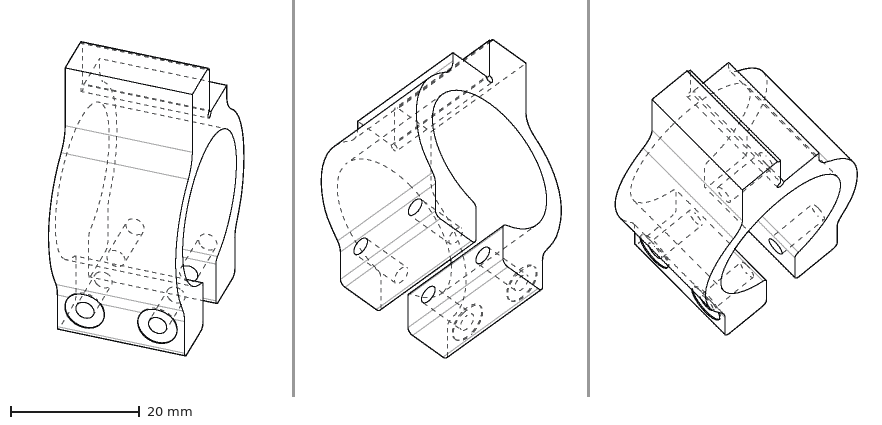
import cadquery as cq
import math

width = 20.95
height = 48.3

bore_radius = 12.5
bore_z = 21.0
slot_width = 5.95
slot_mouth_radius = 1.0
slot_foot_radius = 1.0

front_reach = 15.75
back_reach = 16.05

seat_half_depth = 8.0
shelf_z = 39.0
relief_radius = 0.7
seat_blend_radius = 5.0

front_foot_y = -11.65
back_foot_y = 11.85
foot_corner_radius = 1.0
foot_top_z = 7.1
front_blend_radius = 5.0
back_blend_radius = 3.6
front_blend_angle = math.radians(29.5)
back_blend_angle = math.radians(34)

screw_spacing = 11.95
screw_z = 5.1
screw_diameter = 3.0
spotface_diameter = 6.45
spotface_depth = 0.2

blend_center_y = seat_half_depth + seat_blend_radius
blend_center_distance = front_reach + seat_blend_radius
blend_angle = math.acos(blend_center_y / blend_center_distance)
seat_side_z = bore_z + blend_center_distance * math.sin(blend_angle)
shoulder_y = front_reach * math.cos(blend_angle)
shoulder_z = bore_z + front_reach * math.sin(blend_angle)

front_wall = [(-14.4, 27.45), (-front_reach, bore_z), (-15.05, 15.95)]
back_wall = [(14.45, 27.45), (back_reach, 19.6), (15.15, 13.95)]


def blend_point(foot_y, side, radius, angle):
    """Point at the given angle along the arc that starts at the top of a foot."""
    y = foot_y + side * radius * (1 - math.cos(angle))
    z = foot_top_z + radius * math.sin(angle)
    return (y, z)


def add_side(outline, side, wall, foot_y, blend_radius, angle):
    """Draw one side of the clamp, from the seat down to the foot."""
    mid_angle = blend_angle / 2
    seat_mid = (
        side * (blend_center_y - seat_blend_radius * math.cos(mid_angle)),
        seat_side_z - seat_blend_radius * math.sin(mid_angle),
    )
    shoulder = (side * shoulder_y, shoulder_z)
    wall_end = blend_point(foot_y, side, blend_radius, angle)
    foot_mid = blend_point(foot_y, side, blend_radius, angle / 2)
    start_tangent = (side * math.sin(blend_angle), -math.cos(blend_angle))
    end_tangent = (-side * math.sin(angle), -math.cos(angle))
    return (
        outline.lineTo(side * seat_half_depth, seat_side_z)
        .threePointArc(seat_mid, shoulder)
        .spline(wall + [wall_end], tangents=[start_tangent, end_tangent], includeCurrent=True)
        .threePointArc(foot_mid, (foot_y, foot_top_z))
        .lineTo(foot_y, 0)
        .lineTo(0, 0)
    )


def half_body(side, top_z, wall, foot_y, blend_radius, angle):
    """Solid half of the clamp on one side of the bore's vertical midplane."""
    outline = cq.Workplane("YZ", origin=(-width / 2, 0, 0)).moveTo(0, top_z).lineTo(side * seat_half_depth, top_z)
    outline = add_side(outline, side, wall, foot_y, blend_radius, angle)
    return outline.close().extrude(width)


def bar(y, z, radius):
    """Round bar along X, used as a cutter."""
    return cq.Workplane("YZ").center(y, z).circle(radius).extrude(width / 2, both=True)


def round_edges(body, y, z, radius):
    """Fillet the edge along X that passes through (y, z)."""
    edge = cq.selectors.NearestToPointSelector((0, y, z))
    return body.edges("|X").edges(edge).fillet(radius)


def screw_cutter(x):
    """Through hole with a shallow spotface on the front foot."""
    plane = cq.Workplane("XZ", origin=(x, 0, screw_z))
    hole = plane.circle(screw_diameter / 2).extrude(back_reach, both=True)
    spotface = (
        plane.workplane(offset=-front_foot_y - spotface_depth)
        .circle(spotface_diameter / 2)
        .extrude(front_reach + front_foot_y)
    )
    return hole.union(spotface)


front = half_body(-1, height, front_wall, front_foot_y, front_blend_radius, front_blend_angle)
back = half_body(1, shelf_z, back_wall, back_foot_y, back_blend_radius, back_blend_angle)
body = front.union(back)

slot = cq.Workplane("XY").box(width, slot_width, bore_z, centered=(True, True, False))
body = body.cut(bar(0, bore_z, bore_radius)).cut(slot)

slot_half = slot_width / 2
mouth_z = bore_z - math.sqrt(bore_radius**2 - slot_half**2)
for side, foot_y in [(-1, front_foot_y), (1, back_foot_y)]:
    body = round_edges(body, side * slot_half, mouth_z, slot_mouth_radius)
    body = round_edges(body, side * slot_half, 0, slot_foot_radius)
    body = round_edges(body, foot_y, 0, foot_corner_radius)

for z in (shelf_z, height):
    body = body.cut(bar(0, z, relief_radius))

for x in (-screw_spacing / 2, screw_spacing / 2):
    body = body.cut(screw_cutter(x))

result = body